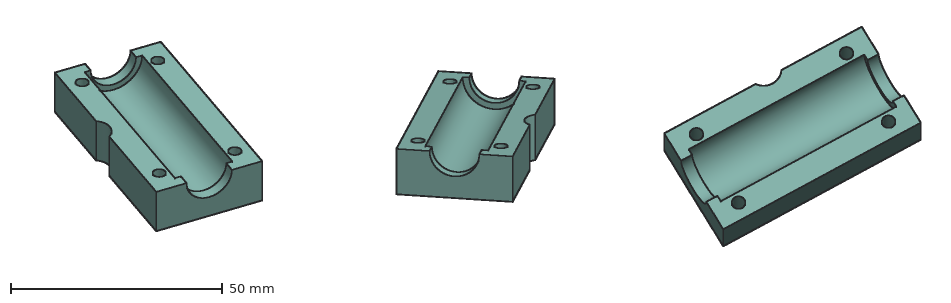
import cadquery as cq

length = 54.0
width = 28.0
height = 11.5

cavity_diameter = 15.2
opening_diameter = 12.0
end_wall = 3.0

hole_diameter = 3.2
hole_spacing_x = 41.0
hole_spacing_y = 20.0

notch_x = -1.5
notch_width = 7.0
notch_depth = 1.9
notch_radius = (notch_width**2 / 4 + notch_depth**2) / (2 * notch_depth)


def lengthwise_cylinder(diameter, cylinder_length):
    """Cylinder along X, centred on the parting plane."""
    start_plane = cq.Workplane("YZ").workplane(offset=-cylinder_length / 2)
    return start_plane.circle(diameter / 2).extrude(cylinder_length)


block = cq.Workplane("XY").box(length, width, height, centered=(True, True, False))
block = block.translate((0, 0, -height))

cavity = lengthwise_cylinder(cavity_diameter, length - 2 * end_wall)
opening = lengthwise_cylinder(opening_diameter, length)

screw_holes = (
    cq.Workplane("XY")
    .rarray(hole_spacing_x, hole_spacing_y, 2, 2)
    .circle(hole_diameter / 2)
    .extrude(-height)
)

notch_center_y = -width / 2 + notch_depth - notch_radius
notch = cq.Workplane("XY").center(notch_x, notch_center_y).circle(notch_radius).extrude(-height)

result = block.cut(cavity).cut(opening).cut(screw_holes).cut(notch)